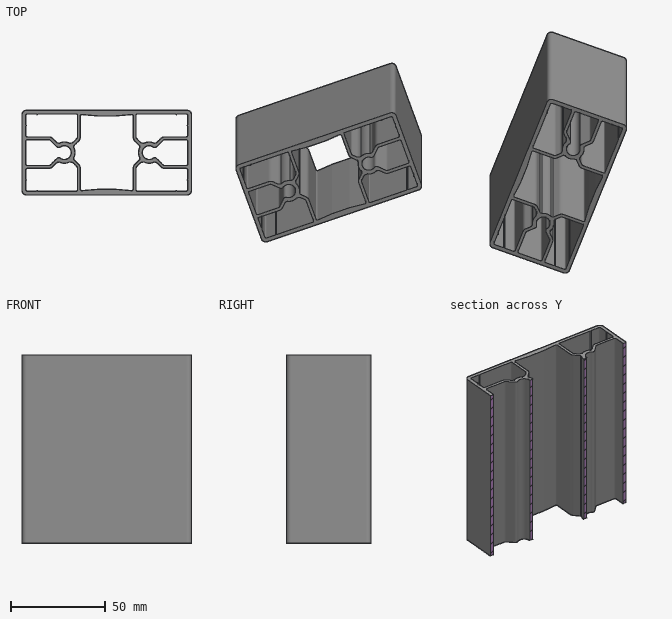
import cadquery as cq
import math

WIDTH = 90.0
DEPTH = 45.0
LENGTH = 100.0
CORNER_RADIUS = 2.5

WALL = 2.1
WEB = 1.6

CHANNEL_X = WIDTH / 4
CHANNEL_RADIUS = 3.6
BOSS_RADIUS = 5.7
BOSS_HALF_SIDE = 5.1

CROSS_WEB_INNER_X = 14.0
CROSS_WEB_OUTER_X = CROSS_WEB_INNER_X + WEB
END_WEB_INNER_Y = 6.8
END_WEB_OUTER_Y = END_WEB_INNER_Y + WEB

END_ARM_INNER_OFFSET = 0.9
END_ARM_OUTER_OFFSET = END_ARM_INNER_OFFSET - WEB * math.sqrt(2)
CROSS_ARM_OUTER_OFFSET = 0.8
CROSS_ARM_INNER_OFFSET = CROSS_ARM_OUTER_OFFSET - WEB * math.sqrt(2)

CENTRE_WALL_EDGE = 2.3
CENTRE_WALL_MIDDLE = 3.1
PLATEAU_HALF_LENGTH = 5.0

CHAMBER_RADIUS = 0.8
SHARP_CORNER_RADIUS = 0.5
LIP_RADIUS = 1.5

BEND_OUTER_RADIUS = 3.0
BEND_INNER_RADIUS = BEND_OUTER_RADIUS - WEB
ARM_FOOT_RADIUS = 2.0

RIDGE_HEIGHT = 0.4
RIDGE_FROM_CORNER = 8.1

INNER_X = WIDTH / 2 - WALL
INNER_Y = DEPTH / 2 - WALL


def round_edges(chamber, points, radius):
    """Round the upright edges of a chamber that stand on the given plan points."""
    reach = 0.01
    for x, y in points:
        box = cq.selectors.BoxSelector(
            (x - reach, y - reach, -reach),
            (x + reach, y + reach, LENGTH + reach),
        )
        chamber = chamber.edges("|Z").edges(box).fillet(radius)
    return chamber


def block(points):
    """Extrude a closed polygon over the full length."""
    return cq.Workplane("XY").polyline(points).close().extrude(LENGTH)


def mirror_x(chamber):
    return chamber.mirror("YZ")


def mirror_y(chamber):
    return chamber.mirror("XZ")


def boss_cylinder():
    return cq.Workplane("XY").center(CHANNEL_X, 0).circle(BOSS_RADIUS).extrude(LENGTH)


def ridge(x, y):
    """Square bar on edge; the half that lies inside a chamber forms a V ridge."""
    return block([
        (x - RIDGE_HEIGHT, y),
        (x, y - RIDGE_HEIGHT),
        (x + RIDGE_HEIGHT, y),
        (x, y + RIDGE_HEIGHT),
    ])


def corner_chamber():
    """Chamber in the +X +Y corner, hollowed around the channel boss."""
    end_arm_x = CHANNEL_X + END_ARM_OUTER_OFFSET
    cross_arm_x = CHANNEL_X + CROSS_ARM_OUTER_OFFSET
    web_corner = (CROSS_WEB_OUTER_X, INNER_Y)
    wall_corners = [(INNER_X, INNER_Y), (INNER_X, END_WEB_OUTER_Y)]
    end_bend = (end_arm_x + END_WEB_OUTER_Y, END_WEB_OUTER_Y)
    arm_feet = [
        (end_arm_x + BOSS_HALF_SIDE, BOSS_HALF_SIDE),
        (cross_arm_x - BOSS_HALF_SIDE, BOSS_HALF_SIDE),
    ]
    cross_bend = (CROSS_WEB_OUTER_X, cross_arm_x - CROSS_WEB_OUTER_X)
    chamber = block([web_corner, *wall_corners, end_bend, *arm_feet, cross_bend])
    chamber = round_edges(chamber, [web_corner], SHARP_CORNER_RADIUS)
    chamber = round_edges(chamber, wall_corners, CHAMBER_RADIUS)
    chamber = round_edges(chamber, [end_bend], BEND_OUTER_RADIUS)
    chamber = round_edges(chamber, [cross_bend], BEND_INNER_RADIUS)
    chamber = round_edges(chamber, arm_feet, ARM_FOOT_RADIUS)
    chamber = chamber.cut(boss_cylinder())
    ridge_x = WIDTH / 2 - RIDGE_FROM_CORNER
    ridge_y = DEPTH / 2 - RIDGE_FROM_CORNER
    return chamber.cut(ridge(ridge_x, INNER_Y)).cut(ridge(INNER_X, ridge_y))


def end_chamber():
    """Chamber between the +X end webs, opening into the round screw channel."""
    arm_x = CHANNEL_X + END_ARM_INNER_OFFSET
    half_offset = END_ARM_INNER_OFFSET / 2
    lip_y = math.sqrt(CHANNEL_RADIUS**2 / 2 - half_offset**2) - half_offset
    lip_x = arm_x + lip_y
    wall_corners = [(INNER_X, END_WEB_INNER_Y), (INNER_X, -END_WEB_INNER_Y)]
    bend_x = arm_x + END_WEB_INNER_Y
    bends = [(bend_x, END_WEB_INNER_Y), (bend_x, -END_WEB_INNER_Y)]
    lips = [(lip_x, -lip_y), (lip_x, lip_y)]
    chamber = (
        cq.Workplane("XY")
        .moveTo(lip_x, lip_y)
        .lineTo(*bends[0])
        .lineTo(*wall_corners[0])
        .lineTo(*wall_corners[1])
        .lineTo(*bends[1])
        .lineTo(lip_x, -lip_y)
        .threePointArc((CHANNEL_X - CHANNEL_RADIUS, 0), (lip_x, lip_y))
        .close()
        .extrude(LENGTH)
    )
    chamber = round_edges(chamber, wall_corners, CHAMBER_RADIUS)
    chamber = round_edges(chamber, bends, BEND_INNER_RADIUS)
    return round_edges(chamber, lips, LIP_RADIUS)


def centre_chamber():
    """Central chamber with thickened long walls and the two bosses standing in it."""
    edge_y = DEPTH / 2 - CENTRE_WALL_EDGE
    middle_y = DEPTH / 2 - CENTRE_WALL_MIDDLE
    arm_x = CHANNEL_X + CROSS_ARM_INNER_OFFSET
    arm_end_y = arm_x - CROSS_WEB_INNER_X
    boss_face_x = CHANNEL_X - BOSS_HALF_SIDE
    arm_start_y = arm_x - boss_face_x
    web = CROSS_WEB_INNER_X
    plateau = PLATEAU_HALF_LENGTH
    chamber = (
        cq.Workplane("XY")
        .moveTo(-web, edge_y)
        .lineTo(-plateau, middle_y)
        .lineTo(plateau, middle_y)
        .lineTo(web, edge_y)
        .lineTo(web, arm_end_y)
        .lineTo(boss_face_x, arm_start_y)
        .lineTo(boss_face_x, -arm_start_y)
        .lineTo(web, -arm_end_y)
        .lineTo(web, -edge_y)
        .lineTo(plateau, -middle_y)
        .lineTo(-plateau, -middle_y)
        .lineTo(-web, -edge_y)
        .lineTo(-web, -arm_end_y)
        .lineTo(-boss_face_x, -arm_start_y)
        .lineTo(-boss_face_x, arm_start_y)
        .lineTo(-web, arm_end_y)
        .close()
        .extrude(LENGTH)
    )
    corners = [(x, y) for x in (-web, web) for y in (-edge_y, edge_y)]
    bends = [(x, y) for x in (-web, web) for y in (-arm_end_y, arm_end_y)]
    chamber = round_edges(chamber, corners, CHAMBER_RADIUS)
    chamber = round_edges(chamber, bends, BEND_OUTER_RADIUS)
    boss = boss_cylinder()
    return chamber.cut(boss).cut(mirror_x(boss))


def profile():
    body = cq.Workplane("XY").rect(WIDTH, DEPTH).extrude(LENGTH)
    body = body.edges("|Z").fillet(CORNER_RADIUS)
    corner = corner_chamber()
    end = end_chamber()
    for chamber in (corner, mirror_y(corner), end):
        body = body.cut(chamber).cut(mirror_x(chamber))
    return body.cut(centre_chamber())


result = profile()